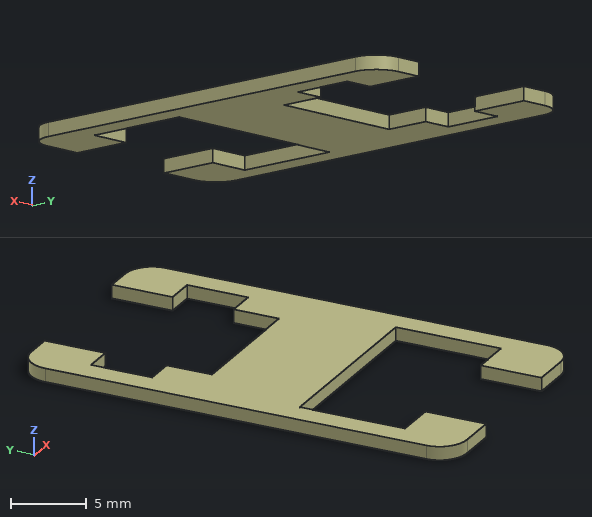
import cadquery as cq

width = 18.0
length = 32
thickness = 1.0
corner_radius = 2.0

wide_opening = 14.3
lip_length = 4.48

upper_mouth = 10.0
upper_notch_depth = 2 * lip_length
upper_depth = 12.3

lower_mouth = 8.22
lower_depth = 12.2


def centred_cutter(opening, y_start, y_end):
    """Block through the plate, centred on X, between two Y positions."""
    return (
        cq.Workplane("XY")
        .center(0, (y_start + y_end) / 2)
        .rect(opening, y_end - y_start)
        .extrude(thickness)
    )


top_end = length / 2
bottom_end = -length / 2

plate = (
    cq.Workplane("XY")
    .rect(width, length)
    .extrude(thickness)
    .edges("|Z")
    .fillet(corner_radius)
)

upper_channel = centred_cutter(upper_mouth, top_end - upper_depth, top_end)
upper_notches = centred_cutter(wide_opening, top_end - upper_notch_depth, top_end - lip_length)

lower_channel = centred_cutter(lower_mouth, bottom_end, bottom_end + lower_depth)
lower_pocket = centred_cutter(wide_opening, bottom_end + lip_length, bottom_end + lower_depth)

result = plate.cut(upper_channel).cut(upper_notches).cut(lower_channel).cut(lower_pocket)